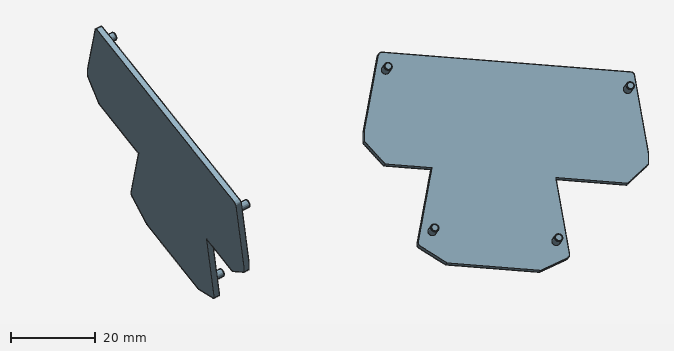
import cadquery as cq
import math

width = 69.0
height = 51.5
thickness = 1.5
half_width = width / 2
edge_slope = math.tan(math.radians(10))

shoulder_z = 23.5
side_bottom_z = 28.8
side_top_z = 31.45
shoulder_half_width = 29.45
top_half_width = half_width - (height - side_top_z) * edge_slope

tab_center_x = 3.05
neck_half_width = 15.05
tab_side_z = 4.0
tab_half_width = neck_half_width + (shoulder_z - tab_side_z) * edge_slope
tab_bottom_half_width = 11.4
corner_radius = 1.0

pin_diameter = 2.0
pin_length = 3.0
pin_chamfer = 0.2
upper_pin_z = 47.0
upper_pin_half_spacing = 29.4
lower_pin_z = 7.5
lower_pin_half_spacing = neck_half_width


def make_plate():
    right_side = [
        (tab_center_x + tab_bottom_half_width, 0),
        (tab_center_x + tab_half_width, tab_side_z),
        (tab_center_x + neck_half_width, shoulder_z),
        (shoulder_half_width, shoulder_z),
        (half_width, side_bottom_z),
        (half_width, side_top_z),
        (top_half_width, height),
    ]
    left_side = [
        (-top_half_width, height),
        (-half_width, side_top_z),
        (-half_width, side_bottom_z),
        (-shoulder_half_width, shoulder_z),
        (tab_center_x - neck_half_width, shoulder_z),
        (tab_center_x - tab_half_width, tab_side_z),
        (tab_center_x - tab_bottom_half_width, 0),
    ]
    plate = cq.Workplane("XZ").polyline(right_side + left_side).close().extrude(-thickness)
    rounded_corners = [
        (top_half_width, height),
        (-top_half_width, height),
        (tab_center_x + tab_half_width, tab_side_z),
        (tab_center_x - tab_half_width, tab_side_z),
    ]
    for x, z in rounded_corners:
        corner_edge = cq.selectors.NearestToPointSelector((x, thickness / 2, z))
        plate = plate.edges("|Y").edges(corner_edge).fillet(corner_radius)
    return plate


def make_pin(x, z):
    pin = cq.Workplane("XZ").center(x, z).circle(pin_diameter / 2).extrude(-(thickness + pin_length))
    return pin.faces(">Y").chamfer(pin_chamfer)


result = make_plate()
for side in (-1, 1):
    result = result.union(make_pin(side * upper_pin_half_spacing, upper_pin_z))
    result = result.union(make_pin(tab_center_x + side * lower_pin_half_spacing, lower_pin_z))